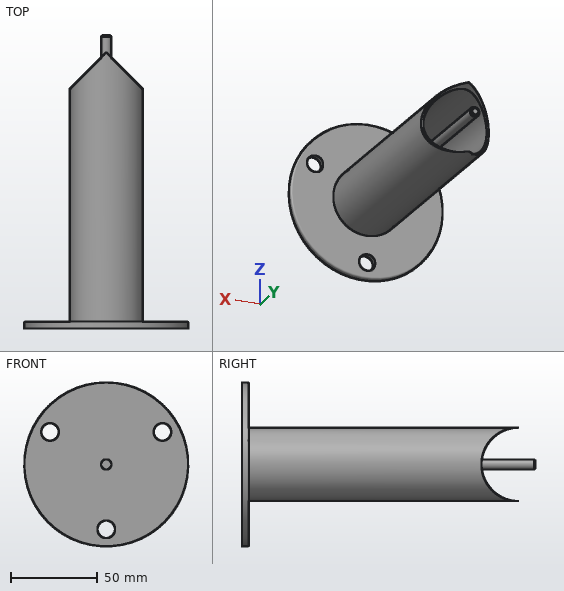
import cadquery as cq

total_length = 170.0

plate_diameter = 95.0
plate_thickness = 4.0
plate_fillet = 1.0
mount_hole_diameter = 10.0
mount_hole_count = 3
mount_circle_radius = 37.5
first_hole_angle = 90.0

tube_diameter = 42.5
tube_bore = 39.5
tube_start = plate_thickness
tube_end = 160.0

rod_diameter = 6.0
rod_chamfer = 1.0


def cylinder(diameter, start, end):
    """Solid cylinder on the Y axis, from Y = start to Y = end."""
    direction = cq.Vector(0, 1, 0)
    return cq.Workplane(cq.Solid.makeCylinder(diameter / 2, end - start, cq.Vector(0, start, 0), direction))


def mounting_holes():
    """Cutters for the equally spaced holes through the plate."""
    cutter = cylinder(mount_hole_diameter, 0, plate_thickness).translate((mount_circle_radius, 0, 0))
    holes = cq.Workplane()
    for index in range(mount_hole_count):
        angle = first_hole_angle + index * 360.0 / mount_hole_count
        holes = holes.add(cutter.rotate((0, 0, 0), (0, 1, 0), angle))
    return holes.combine()


def make_base_plate():
    """Round plate, rounded on the tube side, with mounting holes and a hole that fits the rod."""
    blank = cylinder(plate_diameter, 0, plate_thickness).faces(">Y").fillet(plate_fillet)
    rod_hole = cylinder(rod_diameter, 0, plate_thickness)
    return blank.cut(rod_hole).cut(mounting_holes())


def make_tube():
    """Tube whose far end is notched to seat on a crossing pipe of its own diameter."""
    tube = cylinder(tube_diameter, tube_start, tube_end).cut(cylinder(tube_bore, tube_start, tube_end))
    crossing_pipe = (
        cq.Workplane("YZ")
        .center(tube_end, 0)
        .circle(tube_diameter / 2)
        .extrude(tube_diameter, both=True)
    )
    return tube.cut(crossing_pipe)


def make_rod():
    """Rod flush with the plate's outer face, chamfered at its free end."""
    return cylinder(rod_diameter, 0, total_length).faces(">Y").chamfer(rod_chamfer)


base_plate = make_base_plate()
tube = make_tube()
rod = make_rod()

result = cq.Compound.makeCompound([base_plate.val(), tube.val(), rod.val()])